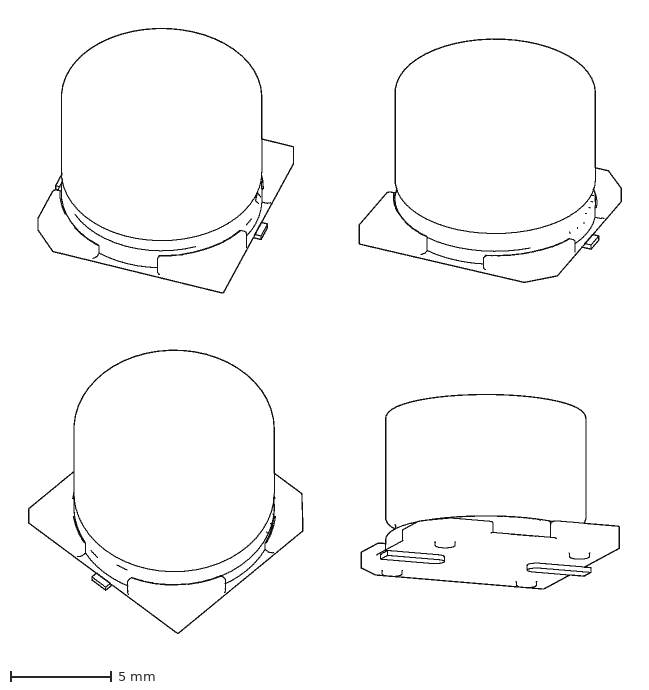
import cadquery as cq
import math

total_height = 7.7
lead_span = 10.9
base_side = 10.3

can_radius = 10.0 / 2
neck_radius = 9.0 / 2
can_edge_round = 0.2
neck_bottom = 1.7
neck_top = 2.06

base_bottom = 0.25
plate_top = 0.55
low_post_top = 1.1
high_post_top = 1.41
corner_cut = 1.25
base_edge_round = 0.08
underside_round = 0.04
notch_half_width = 1.59
notch_edge_round = 0.2

foot_radius = 1.0 / 2
foot_offset = 3.6
foot_edge_round = 0.05
foot_flare = 0.08

lead_width = 0.96
lead_inner_end = 2.26

half_base = base_side / 2

arc_middle = math.sqrt(0.5)


def can():
    """Turned can with a rolled neck groove near its lower end."""
    r = can_edge_round
    roll = r * arc_middle
    groove_bottom = neck_bottom - r
    groove_top = neck_top + r
    outer_flat = can_radius - r
    inner_flat = neck_radius + r

    profile = (
        cq.Workplane("XZ")
        .moveTo(0, base_bottom)
        .lineTo(can_radius, base_bottom)
        .lineTo(can_radius, groove_bottom - r)
        .threePointArc((outer_flat + roll, groove_bottom - r + roll), (outer_flat, groove_bottom))
        .lineTo(inner_flat, groove_bottom)
        .threePointArc((inner_flat - roll, neck_bottom - roll), (neck_radius, neck_bottom))
        .lineTo(neck_radius, neck_top)
        .threePointArc((inner_flat - roll, neck_top + roll), (inner_flat, groove_top))
        .lineTo(outer_flat, groove_top)
        .threePointArc((outer_flat + roll, groove_top + r - roll), (can_radius, groove_top + r))
        .lineTo(can_radius, total_height - r)
        .threePointArc((outer_flat + roll, total_height - r + roll), (outer_flat, total_height))
        .lineTo(0, total_height)
        .close()
    )
    return profile.revolve(360, (0, 0, 0), (0, 1, 0))


def square_block(top):
    """Base outline with its two -X corners cut off, rising from the underside to top."""
    block = cq.Workplane("XY").workplane(offset=base_bottom).rect(base_side, base_side)
    block = block.extrude(top - base_bottom)
    block = block.edges("|Z and <X").chamfer(corner_cut)
    block = block.edges("|Z").fillet(base_edge_round)
    return block.faces("<Z").edges().fillet(underside_round)


def plate():
    """Thin floor of the base, left open in the notches between the corner posts."""
    return square_block(plate_top).faces(">Z").edges().fillet(base_edge_round)


def corner_post(x_side, y_side, top):
    """Upright block on one base corner, hollowed to fit around the can.

    It starts above the rounded underside, inside the plate, so the two merge cleanly.
    """
    post_bottom = base_bottom + underside_round
    height = top - post_bottom
    post_side = half_base - notch_half_width
    post_center = (half_base + notch_half_width) / 2
    corner = (
        cq.Workplane("XY").workplane(offset=post_bottom)
        .center(x_side * post_center, y_side * post_center)
        .rect(post_side, post_side)
        .extrude(height)
    )
    pocket = cq.Workplane("XY").workplane(offset=post_bottom).circle(can_radius).extrude(height)
    post = square_block(top).intersect(corner).cut(pocket)

    for x, y in ((notch_half_width, half_base), (half_base, notch_half_width)):
        edge_end = (x_side * x, y_side * y, post_bottom)
        post = post.edges("|Z").edges(cq.NearestToPointSelector(edge_end)).fillet(notch_edge_round)
    return post.faces(">Z").edges().fillet(base_edge_round)


def foot():
    """Round foot flared where it meets the base and rounded at its lower edge."""
    r = foot_edge_round
    roll = r * arc_middle
    flare = foot_flare
    flare_mid = flare * arc_middle
    profile = (
        cq.Workplane("XZ")
        .lineTo(foot_radius - r, 0)
        .threePointArc((foot_radius - r + roll, r - roll), (foot_radius, r))
        .lineTo(foot_radius, base_bottom - flare)
        .threePointArc(
            (foot_radius + flare - flare_mid, base_bottom - flare + flare_mid),
            (foot_radius + flare, base_bottom),
        )
        .lineTo(0, base_bottom)
        .close()
    )
    return profile.revolve(360, (0, 0, 0), (0, 1, 0))


def lead(x_side):
    """Flat lead with a square outer end and a half-round inner end."""
    half_width = lead_width / 2
    outer = x_side * lead_span / 2
    round_start = x_side * (lead_inner_end + half_width)
    return (
        cq.Workplane("XY")
        .moveTo(outer, -half_width)
        .lineTo(round_start, -half_width)
        .threePointArc((x_side * lead_inner_end, 0), (round_start, half_width))
        .lineTo(outer, half_width)
        .close()
        .extrude(base_bottom)
    )


result = plate().union(can())
for x_side, post_top in ((-1, low_post_top), (1, high_post_top)):
    result = result.union(lead(x_side))
    for y_side in (-1, 1):
        result = result.union(corner_post(x_side, y_side, post_top))
        result = result.union(foot().translate((x_side * foot_offset, y_side * foot_offset, 0)))